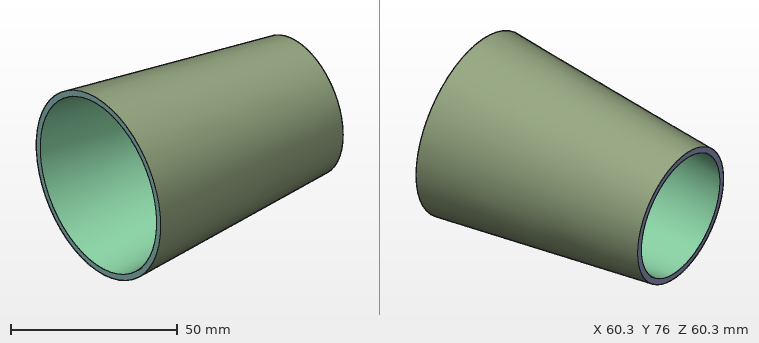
import cadquery as cq

length = 76.0
wide_diameter = 60.3
narrow_diameter = 44.45
wall = 2.0

wide_radius = wide_diameter / 2
narrow_radius = narrow_diameter / 2

wall_section = (
    cq.Workplane("XY")
    .moveTo(wide_radius - wall, -length / 2)
    .lineTo(wide_radius, -length / 2)
    .lineTo(narrow_radius, length / 2)
    .lineTo(narrow_radius - wall, length / 2)
    .close()
)

result = wall_section.revolve(360, (0, 0, 0), (0, 1, 0))